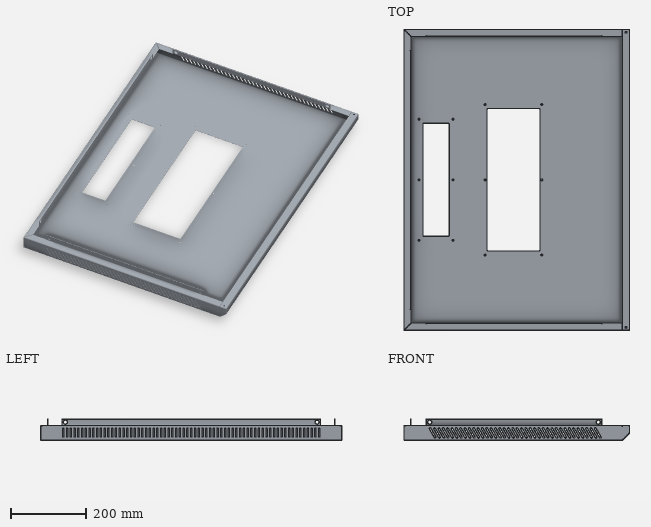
import cadquery as cq
import math

LENGTH_X = 600.0
LENGTH_Y = 800.0
TRAY_HEIGHT = 40.0
TOTAL_HEIGHT = 57.0
SHEET = 1.0
BEND_RADIUS = 2.5
CHAMFER = 19.0
SLOPE_ANGLE = 45.0

LIP_WIDTH = 19.0
LIP_GAP = 1.0
MITRE_ANGLE = 45.0

SIDE_FLANGE_START = 59.0
SIDE_FLANGE_LENGTH = 467.0
END_FLANGE_LENGTH = 688.0
FLANGE_HOLE_DIAMETER = 10.0
FLANGE_HOLE_INSET = 10.0
FLANGE_HOLE_Z = 49.0

SLOT_WIDTH = 4.0
END_SLOT_COUNT = 69
END_SLOT_ROW_LENGTH = 680.0
SLOT_PITCH = END_SLOT_ROW_LENGTH / (END_SLOT_COUNT - 1)
END_SLOT_LENGTH = 24.0
END_SLOT_Z = 21.0
SIDE_SLOT_COUNT = 39
SIDE_SLOT_LENGTH = 30.0
SIDE_SLOT_Z = 20.0
SIDE_SLOT_TILT = 30.0
SIDE_SLOT_MIDDLE_X = 296.0
SIDE_SLOT_PITCH = SLOT_PITCH / math.cos(math.radians(SIDE_SLOT_TILT))

SMALL_OPENING_X = 86.0
SMALL_OPENING_SIZE = (69.0, 300.0)
SMALL_HOLE_SPACING = (90.0, 161.0)
LARGE_OPENING_X = 291.0
LARGE_OPENING_SIZE = (140.0, 378.0)
LARGE_HOLE_SPACING = (150.0, 200.0)
OPENING_CORNER_RADIUS = 2.0
SCREW_HOLE_DIAMETER = 4.2

CORNER_HOLE_DIAMETER = 5.1
CORNER_HOLE_INSET_X = 10.0
CORNER_HOLE_INSET_Y = 8.0

HALF_Y = LENGTH_Y / 2
INNER_BEND_RADIUS = BEND_RADIUS - SHEET


def side_profile(offset):
    """Tray outline in XZ, moved inward by offset, with a sloped lower +X edge."""
    slope_shift = offset * math.tan(math.radians(SLOPE_ANGLE / 2))
    right = LENGTH_X - offset
    slope_start_x = LENGTH_X - CHAMFER - slope_shift
    slope_end_z = CHAMFER + slope_shift
    points = [
        (offset, offset),
        (slope_start_x, offset),
        (right, slope_end_z),
        (right, TRAY_HEIGHT - offset),
        (offset, TRAY_HEIGHT - offset),
    ]
    return (
        cq.Workplane("XZ")
        .polyline(points)
        .close()
        .extrude(HALF_Y - offset, both=True)
    )


def make_tray():
    bent_edges = "|Y or (|X and (<Z or >Z))"
    outer = side_profile(0).edges(bent_edges).fillet(BEND_RADIUS)
    inner = side_profile(SHEET).edges(bent_edges).fillet(INNER_BEND_RADIUS)
    mouth = (
        cq.Workplane("XY", origin=(LENGTH_X / 2, 0, TRAY_HEIGHT / 2))
        .rect(LENGTH_X - 2 * LIP_WIDTH, LENGTH_Y - 2 * LIP_WIDTH)
        .extrude(TRAY_HEIGHT)
    )
    return outer.cut(inner).cut(mouth)


def flange(length):
    """Upright flange along X, centred on X = 0, bent up from a lip that lies on its -Y side.

    Its outer face is at Y = 0 and the bend meets the lip at Y = -INNER_BEND_RADIUS.
    """
    bend_top = TRAY_HEIGHT + INNER_BEND_RADIUS
    plate = (
        cq.Workplane("YZ", origin=(-length / 2, 0, 0))
        .moveTo(0, TOTAL_HEIGHT)
        .lineTo(0, bend_top)
        .radiusArc((-INNER_BEND_RADIUS, TRAY_HEIGHT), INNER_BEND_RADIUS)
        .lineTo(-INNER_BEND_RADIUS, TRAY_HEIGHT - SHEET)
        .radiusArc((SHEET, bend_top), -BEND_RADIUS)
        .lineTo(SHEET, TOTAL_HEIGHT)
        .close()
        .extrude(length)
    )
    hole_offset = length / 2 - FLANGE_HOLE_INSET
    holes = (
        cq.Workplane("XZ")
        .pushPoints([(-hole_offset, FLANGE_HOLE_Z), (hole_offset, FLANGE_HOLE_Z)])
        .circle(FLANGE_HOLE_DIAMETER / 2)
        .extrude(2 * SHEET, both=True)
    )
    return plate.cut(holes)


def lip_notch(length):
    """Strip of lip that the bend of a flange replaces, placed like the flange."""
    return (
        cq.Workplane("XY", origin=(0, -INNER_BEND_RADIUS, TRAY_HEIGHT))
        .box(length, BEND_RADIUS, 4 * SHEET, centered=(True, False, True))
    )


def on_side(shape):
    """Place a shape on the lip of the -Y side."""
    middle_x = SIDE_FLANGE_START + SIDE_FLANGE_LENGTH / 2
    return shape.translate((middle_x, LIP_WIDTH - SHEET - HALF_Y, 0))


def on_end(shape):
    """Place a shape on the lip of the -X end."""
    return shape.rotate((0, 0, 0), (0, 0, 1), -90).translate((LIP_WIDTH - SHEET, 0, 0))


def add_flanges(body):
    side_notch = on_side(lip_notch(SIDE_FLANGE_LENGTH))
    side_flange = on_side(flange(SIDE_FLANGE_LENGTH))
    end_notch = on_end(lip_notch(END_FLANGE_LENGTH))
    end_flange = on_end(flange(END_FLANGE_LENGTH))
    body = body.cut(side_notch).cut(side_notch.mirror("XZ")).cut(end_notch)
    return body.union(side_flange).union(side_flange.mirror("XZ")).union(end_flange)


def cut_mitre_gaps(body):
    bar_length = LIP_WIDTH * math.sqrt(2)
    for side in (-1, 1):
        gap = (
            cq.Workplane("XY")
            .box(bar_length, LIP_GAP, 2 * SHEET)
            .rotate((0, 0, 0), (0, 0, 1), -MITRE_ANGLE * side)
            .translate((LIP_WIDTH / 2 + SHEET, side * (HALF_Y - LIP_WIDTH / 2 - SHEET), TRAY_HEIGHT))
        )
        body = body.cut(gap)
    return body


def cut_butt_gaps(body):
    gap = (
        cq.Workplane("XY", origin=(LENGTH_X - LIP_WIDTH - LIP_GAP, 0, TRAY_HEIGHT - BEND_RADIUS))
        .box(LIP_GAP, LENGTH_Y, BEND_RADIUS, centered=(False, True, False))
    )
    return body.cut(gap)


def cut_end_slots(body):
    slots = (
        cq.Workplane("YZ", origin=(0, 0, END_SLOT_Z))
        .rarray(SLOT_PITCH, 8, END_SLOT_COUNT, 1)
        .slot2D(END_SLOT_LENGTH, SLOT_WIDTH, 90)
        .extrude(2 * SHEET)
    )
    return body.cut(slots)


def cut_side_slots(body):
    slots = (
        cq.Workplane("XZ", origin=(SIDE_SLOT_MIDDLE_X, 0, SIDE_SLOT_Z))
        .rarray(SIDE_SLOT_PITCH, 8, SIDE_SLOT_COUNT, 1)
        .slot2D(SIDE_SLOT_LENGTH, SLOT_WIDTH, 90 + SIDE_SLOT_TILT)
        .extrude(HALF_Y, both=True)
    )
    return body.cut(slots)


def cut_opening(body, middle_x, size, hole_spacing):
    floor = cq.Workplane("XY", origin=(middle_x, 0, 0))
    opening = floor.rect(*size).extrude(2 * SHEET).edges("|Z").fillet(OPENING_CORNER_RADIUS)
    holes = floor.rarray(*hole_spacing, 2, 3).circle(SCREW_HOLE_DIAMETER / 2).extrude(2 * SHEET)
    return body.cut(opening).cut(holes)


def cut_corner_holes(body):
    hole_x = LENGTH_X - CORNER_HOLE_INSET_X
    hole_y = HALF_Y - CORNER_HOLE_INSET_Y
    holes = (
        cq.Workplane("XY", origin=(0, 0, TRAY_HEIGHT))
        .pushPoints([(hole_x, -hole_y), (hole_x, hole_y)])
        .circle(CORNER_HOLE_DIAMETER / 2)
        .extrude(-2 * SHEET)
    )
    return body.cut(holes)


tray = add_flanges(make_tray())
tray = cut_mitre_gaps(tray)
tray = cut_butt_gaps(tray)
tray = cut_end_slots(tray)
tray = cut_side_slots(tray)
tray = cut_opening(tray, SMALL_OPENING_X, SMALL_OPENING_SIZE, SMALL_HOLE_SPACING)
tray = cut_opening(tray, LARGE_OPENING_X, LARGE_OPENING_SIZE, LARGE_HOLE_SPACING)
result = cut_corner_holes(tray)